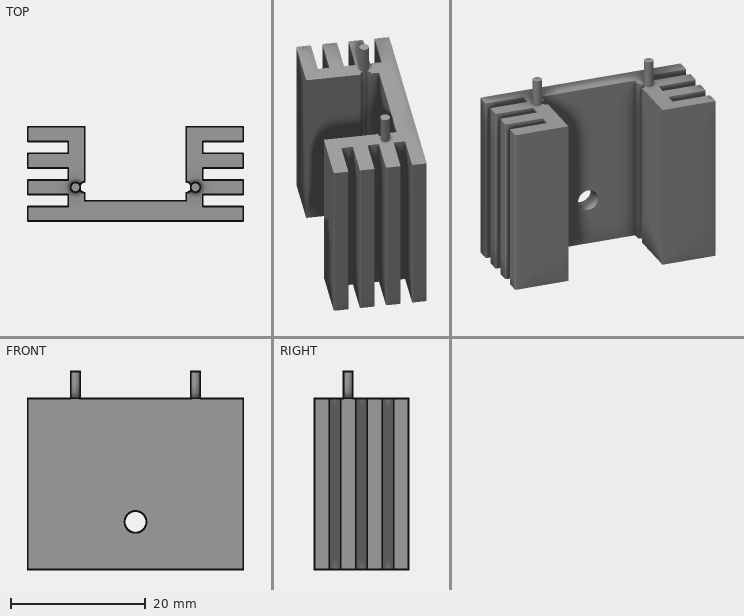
import cadquery as cq

width = 32.0
depth = 14.0
body_height = 25.4
base_thickness = 3.05

fin_count = 4
fin_thickness = 2.2
fin_length = 6.0
fin_edge_radius = 0.15
fin_pitch = (depth - fin_thickness) / (fin_count - 1)

wall_thickness = 2.5
channel_width = width - 2 * (fin_length + wall_thickness)

pin_diameter = 1.45
pin_projection = 4.0
pin_spacing = 17.8
pin_y = 5.02
groove_radius = 0.8

hole_diameter = 3.2
hole_z = 7.07


def make_fin(index):
    """One full-width plate with rounded vertical edges; its ends form a pair of fins."""
    fin = cq.Workplane("XY").box(width, fin_thickness, body_height, centered=(True, False, False))
    return fin.edges("|Z").fillet(fin_edge_radius).translate((0, index * fin_pitch, 0))


def make_body():
    core_width = width - 2 * fin_length
    body = cq.Workplane("XY").box(core_width, depth, body_height, centered=(True, False, False))
    for index in range(fin_count):
        body = body.union(make_fin(index))
    return body


def cut_channel(body):
    channel = (
        cq.Workplane("XY")
        .box(channel_width, depth - base_thickness, body_height, centered=(True, False, False))
        .translate((0, base_thickness, 0))
    )
    grooves = (
        cq.Workplane("XY")
        .pushPoints([(side * channel_width / 2, pin_y) for side in (-1, 1)])
        .circle(groove_radius)
        .extrude(body_height)
    )
    return body.cut(channel).cut(grooves)


def make_pins():
    """Pins run the full height of the body and project above it."""
    return (
        cq.Workplane("XY")
        .pushPoints([(side * pin_spacing / 2, pin_y) for side in (-1, 1)])
        .circle(pin_diameter / 2)
        .extrude(body_height + pin_projection)
    )


def make_mounting_hole():
    return (
        cq.Workplane("XZ")
        .center(0, hole_z)
        .circle(hole_diameter / 2)
        .extrude(-base_thickness)
    )


result = cut_channel(make_body()).union(make_pins()).cut(make_mounting_hole())